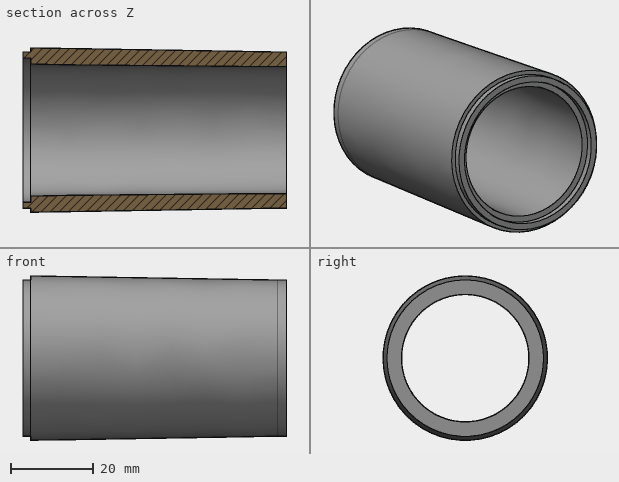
import cadquery as cq

length = 64.1
front_spigot_length = 1.9
rear_band_length = 2.2

spigot_diameter = 38.0
shoulder_diameter = 40.0

front_recess_diameter = 35.0
front_recess_depth = 1.9
front_bore_diameter = 32.05
rear_bore_diameter = 30.9

front_x = -length / 2
rear_x = length / 2
shoulder_x = front_x + front_spigot_length
rear_band_x = rear_x - rear_band_length
recess_floor_x = front_x + front_recess_depth

outer_profile = [
    (front_x, spigot_diameter / 2),
    (shoulder_x, spigot_diameter / 2),
    (shoulder_x, shoulder_diameter / 2),
    (rear_band_x, spigot_diameter / 2),
    (rear_x, spigot_diameter / 2),
]
inner_profile = [
    (rear_x, rear_bore_diameter / 2),
    (recess_floor_x, front_bore_diameter / 2),
    (recess_floor_x, front_recess_diameter / 2),
    (front_x, front_recess_diameter / 2),
]

result = (
    cq.Workplane("XZ")
    .polyline(outer_profile + inner_profile)
    .close()
    .revolve(360, (0, 0, 0), (1, 0, 0))
)